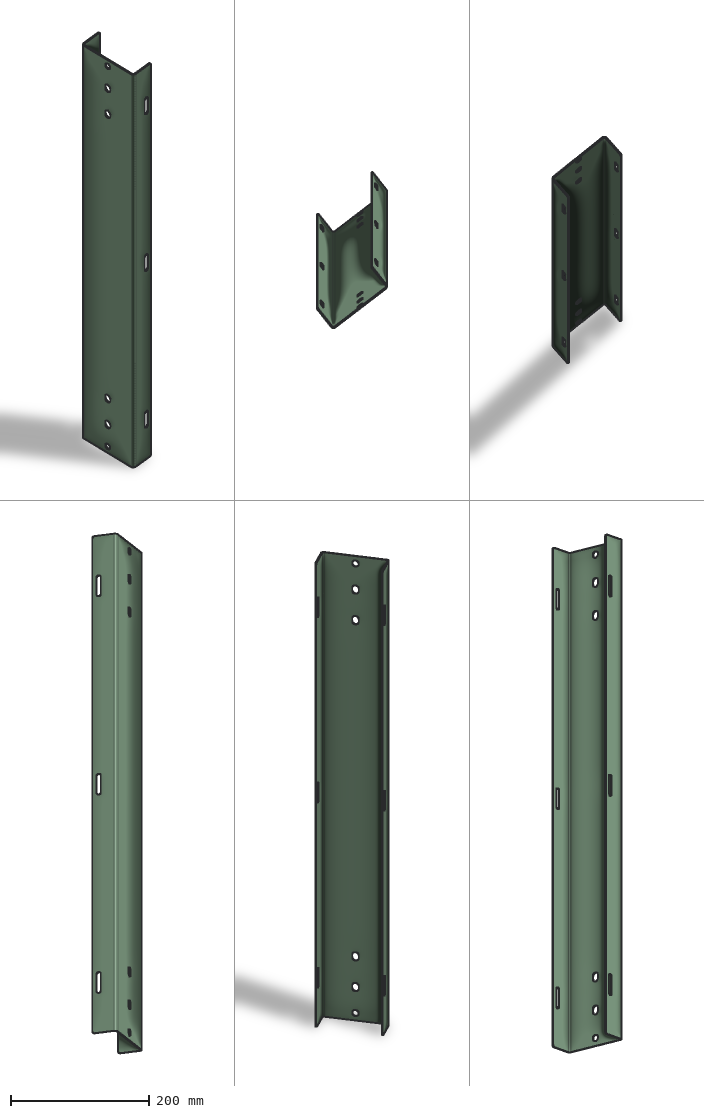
import cadquery as cq

length = 756.0
width = 101.0
depth = 38.0
thickness = 2.0
bend_radius = 4.5
corner_radius = 3.0

hole_width = 10.0
end_hole_inset = 12.0
upright_hole_length = 13.5
upright_hole_insets = (54.5, 104.0)

flange_slot_width = 7.0
flange_slot_length = 32.0
flange_slot_edge_distance = 10.0
flange_slot_spacing = 301.5


def make_channel():
    """U-section with the web at -Y and flanges pointing toward +Y."""
    outer = (
        cq.Workplane("XY")
        .box(width, depth, length)
        .edges("|Z and <Y")
        .fillet(bend_radius)
    )
    inner = (
        cq.Workplane("XY")
        .box(width - 2 * thickness, depth, length)
        .translate((0, thickness, 0))
        .edges("|Z and <Y")
        .fillet(bend_radius - thickness)
    )
    channel = outer.cut(inner)
    return channel.edges("|X and >Y").fillet(corner_radius)


def cut_web_holes(channel):
    """A round end hole and two short upright slots through the web at each end."""
    end_z = length / 2 - end_hole_inset
    upright_z = [length / 2 - inset for inset in upright_hole_insets]
    round_holes = (
        cq.Workplane("XZ")
        .pushPoints([(0, end_z), (0, -end_z)])
        .circle(hole_width / 2)
        .extrude(depth, both=True)
    )
    upright_holes = (
        cq.Workplane("XZ")
        .pushPoints([(0, side * z) for side in (-1, 1) for z in upright_z])
        .slot2D(upright_hole_length, hole_width, 90)
        .extrude(depth, both=True)
    )
    return channel.cut(round_holes).cut(upright_holes)


def cut_flange_slots(channel):
    """Three long slots near the free edge, passing through both flanges."""
    slot_y = depth / 2 - flange_slot_edge_distance
    slots = (
        cq.Workplane("YZ")
        .pushPoints([(slot_y, step * flange_slot_spacing) for step in (-1, 0, 1)])
        .slot2D(flange_slot_length, flange_slot_width, 90)
        .extrude(width, both=True)
    )
    return channel.cut(slots)


result = cut_flange_slots(cut_web_holes(make_channel()))